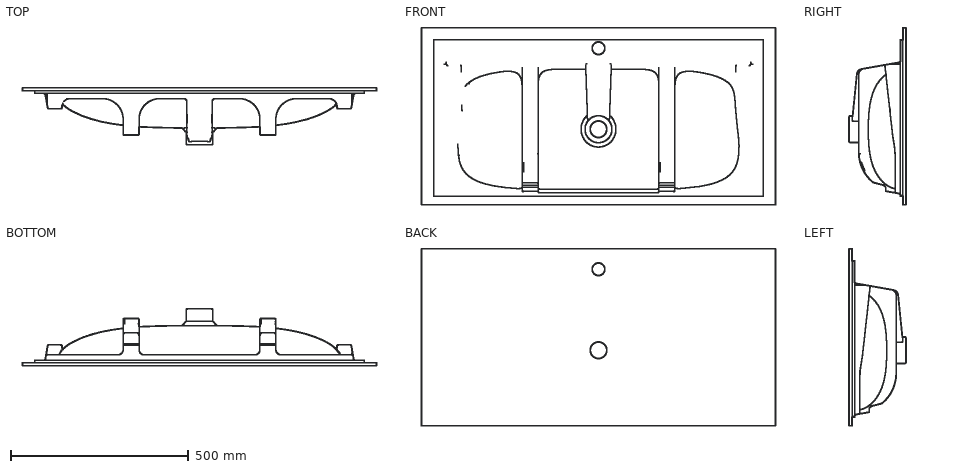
import cadquery as cq
import math


PLATE_WIDTH = 999.79
PLATE_HEIGHT = 499.9
PLATE_DEPTH = 9.0
STEP_WIDTH = 931.0
STEP_TOP = 216.0
STEP_BOTTOM = -225.0
STEP_DEPTH = 16.0
PLATE_EDGE_RADIUS = 3.0
PLATE_CORNER_RADIUS = 2.0
TAP_HOLE_DIAMETER = 35.0
TAP_HOLE_Z = 192.0

APRON_HALF_WIDTH = 436.0
APRON_TOP = 153.0
APRON_BOTTOM = -219.0
APRON_DRAFT = 10.0
APRON_TOP_RADIUS = 6.0
APRON_BOTTOM_RADIUS = 45.0
APRON_ROOT_RADIUS = 5.0
SHELF_DEPTH = 31.0

PAD_INNER_X = 388.0
PAD_DEPTH = 61.0
PAD_MID_DEPTH = 38.5
PAD_MID_Z = -50.0
PAD_END_Z = -110.0
PAD_FLARE = 23.0

RAISED_EDGE_RADIUS = 4.0

RIB_X = 193.0
RIB_WIDTH = 45.0
RIB_DEPTH = 134.0
RIB_TOP_CORNER_RADIUS = 18.0
RIB_STRAIGHT_END_Z = -105.0
RIB_CURVE_MID = (117.0, -160.0)
RIB_CURVE_END = (93.0, -187.0)
RIB_HEEL = (63.0, -195.0)
RIB_TOE_DEPTH = 58.0
RIB_FLARE = 58.0
RIB_FOOT_FLARE = 15.0

MIDDLE_RIB_TOP_WIDTH = 73.0
MIDDLE_RIB_END_WIDTH = 60.0
MIDDLE_RIB_TOP_DEPTH = 138.0
MIDDLE_RIB_END_DEPTH = 155.0
MIDDLE_RIB_CORNER_RADIUS = 18.0
MIDDLE_RIB_FOOT_RADIUS = 8.0

DRAIN_Z = -36.5
DRAIN_DEPTH = 161.5
DRAIN_DIAMETER = 76.0
DRAIN_EDGE_RADIUS = 5.0
DRAIN_HOLE_DIAMETER = 46.0
DRAIN_CONE_DIAMETER = 106.0
DRAIN_CONE_START = 110.0
DRAIN_CONE_END = 126.0

BOWL_HALF_WIDTH = 397.0
BOWL_HALF_HEIGHT = 170.0
BOWL_Z = -37.0
BOWL_DEPTH = 114.0
BOWL_LEVELS = (0.0, 0.2, 0.42, 0.64, 0.82, 0.93, 0.98, 0.998)
BOWL_FULLNESS = 1.5
BOWL_ROUNDING = 0.3
BOWL_POINTS = 48
BOWL_BASE_SQUARENESS = 4.6
BOWL_CROWN_SQUARENESS = 2.5

SLACK = 1.0

DRAFT_SLOPE = math.tan(math.radians(APRON_DRAFT))


def box(x_min, x_max, depth_min, depth_max, z_min, z_max):
    """Block given by its X and Z limits and its two depths."""
    size = (x_max - x_min, depth_max - depth_min, z_max - z_min)
    corner = (x_min, -depth_max, z_min)
    return cq.Workplane("XY").box(*size, centered=False).translate(corner)


def apron_top_at(depth):
    """Height of the drafted top wall of the apron at a depth."""
    return APRON_TOP - (depth - STEP_DEPTH) * DRAFT_SLOPE


def apron_bottom_at(depth):
    """Height of the drafted bottom wall of the apron at a depth."""
    return APRON_BOTTOM + (depth - STEP_DEPTH) * DRAFT_SLOPE


def make_plate():
    """Outer plate and the smaller step on it."""
    plate = box(-PLATE_WIDTH / 2, PLATE_WIDTH / 2, 0, PLATE_DEPTH, -PLATE_HEIGHT / 2, PLATE_HEIGHT / 2)
    plate = plate.edges("|Y").fillet(PLATE_CORNER_RADIUS)
    plate = plate.faces(">Y").edges().fillet(PLATE_EDGE_RADIUS)
    step = box(-STEP_WIDTH / 2, STEP_WIDTH / 2, 0, STEP_DEPTH, STEP_BOTTOM, STEP_TOP)
    return plate.union(step)


def make_apron():
    """Drafted block with the full depth; later cut down to shelf, pads and ribs."""
    height = APRON_TOP - APRON_BOTTOM
    outline = (
        cq.Sketch()
        .rect(2 * APRON_HALF_WIDTH, height)
        .vertices(">Y").fillet(APRON_TOP_RADIUS)
        .reset().vertices("<Y").fillet(APRON_BOTTOM_RADIUS)
    )
    return (
        cq.Workplane("XZ", origin=(0, -STEP_DEPTH, (APRON_TOP + APRON_BOTTOM) / 2))
        .placeSketch(outline)
        .extrude(DRAIN_DEPTH - STEP_DEPTH, taper=APRON_DRAFT)
    )


def make_flare(x, direction, radius, z_min, z_max):
    """Concave sweep from the shelf up to a wall at x, facing the given X direction."""
    far_x = x + direction * radius
    block = box(min(x, far_x), max(x, far_x), 0, SHELF_DEPTH + radius, z_min, z_max)
    hollow = (
        cq.Workplane("XY", origin=(far_x, -SHELF_DEPTH - radius, z_min))
        .circle(radius)
        .extrude(z_max - z_min)
    )
    return block.cut(hollow)


def make_pad():
    """End pad on the +X side, deep at the top and blending into a thin toe."""
    flare = make_flare(PAD_INNER_X, -1, PAD_FLARE, APRON_BOTTOM, APRON_TOP)
    pad = box(PAD_INNER_X, APRON_HALF_WIDTH, 0, DRAIN_DEPTH, APRON_BOTTOM, APRON_TOP).union(flare)
    slope = (PAD_DEPTH - PAD_MID_DEPTH, PAD_MID_Z - APRON_TOP)
    side = (
        cq.Workplane("YZ", origin=(PAD_INNER_X - PAD_FLARE, 0, 0))
        .moveTo(0, APRON_TOP)
        .lineTo(-PAD_DEPTH, APRON_TOP)
        .lineTo(-PAD_MID_DEPTH, PAD_MID_Z)
        .spline([(-SHELF_DEPTH, PAD_END_Z)], tangents=[slope, (0, -1)], includeCurrent=True)
        .lineTo(0, PAD_END_Z)
        .close()
        .extrude(APRON_HALF_WIDTH - PAD_INNER_X + PAD_FLARE)
    )
    return pad.intersect(side)


def make_rib_side(width):
    """Side outline of a rib as a block of the given width, centred on X = 0."""
    corner_z = apron_top_at(RIB_DEPTH)
    toe_z = apron_bottom_at(RIB_TOE_DEPTH)
    return (
        cq.Workplane("YZ", origin=(-width / 2, 0, 0))
        .moveTo(0, apron_top_at(0))
        .lineTo(-RIB_DEPTH, corner_z)
        .lineTo(-RIB_DEPTH, RIB_STRAIGHT_END_Z)
        .threePointArc((-RIB_CURVE_MID[0], RIB_CURVE_MID[1]), (-RIB_CURVE_END[0], RIB_CURVE_END[1]))
        .lineTo(-RIB_HEEL[0], RIB_HEEL[1])
        .lineTo(-RIB_TOE_DEPTH, RIB_HEEL[1] - (RIB_HEEL[0] - RIB_TOE_DEPTH))
        .lineTo(-RIB_TOE_DEPTH, toe_z)
        .lineTo(0, apron_bottom_at(0))
        .close()
        .extrude(width)
        .edges(cq.selectors.NearestToPointSelector((0, -RIB_DEPTH, corner_z)))
        .fillet(RIB_TOP_CORNER_RADIUS)
    )


def make_rib():
    """Side rib on the +X side: straight core with a flare on both flanks."""
    half_width = RIB_WIDTH / 2
    rib = make_rib_side(RIB_WIDTH)
    clipping = make_rib_side(RIB_WIDTH + 2 * RIB_FLARE)
    for direction in (-1, 1):
        x = direction * half_width
        upper_flare = make_flare(x, direction, RIB_FLARE, BOWL_Z, APRON_TOP)
        foot_flare = make_flare(x, direction, RIB_FOOT_FLARE, APRON_BOTTOM, BOWL_Z)
        rib = rib.union(upper_flare.union(foot_flare).intersect(clipping))
    return rib.translate((RIB_X, 0, 0))


def make_middle_rib():
    """Tapered rib that leans out from the apron top down to the drain."""
    corner_z = apron_top_at(MIDDLE_RIB_TOP_DEPTH)
    front = (
        cq.Workplane("XZ")
        .polyline([
            (-MIDDLE_RIB_TOP_WIDTH / 2, APRON_TOP),
            (MIDDLE_RIB_TOP_WIDTH / 2, APRON_TOP),
            (MIDDLE_RIB_END_WIDTH / 2, DRAIN_Z),
            (-MIDDLE_RIB_END_WIDTH / 2, DRAIN_Z),
        ])
        .close()
        .extrude(DRAIN_DEPTH)
    )
    side = (
        cq.Workplane("YZ", origin=(-MIDDLE_RIB_TOP_WIDTH / 2, 0, 0))
        .polyline([
            (0, apron_top_at(0)),
            (-MIDDLE_RIB_TOP_DEPTH, corner_z),
            (-MIDDLE_RIB_END_DEPTH, DRAIN_Z),
            (0, DRAIN_Z),
        ])
        .close()
        .extrude(MIDDLE_RIB_TOP_WIDTH)
        .edges(cq.selectors.NearestToPointSelector((0, -MIDDLE_RIB_TOP_DEPTH, corner_z)))
        .fillet(MIDDLE_RIB_CORNER_RADIUS)
    )
    return front.intersect(side)


def make_bowl_outline(level):
    """Closed superellipse at a level between 0 (shelf) and 1 (crown of the bowl)."""
    scale = (1 - level ** BOWL_FULLNESS) ** BOWL_ROUNDING
    squareness = BOWL_BASE_SQUARENESS + (BOWL_CROWN_SQUARENESS - BOWL_BASE_SQUARENESS) * level
    depth = SHELF_DEPTH + level * (BOWL_DEPTH - SHELF_DEPTH)
    points = []
    for step in range(BOWL_POINTS):
        angle = 2 * math.pi * step / BOWL_POINTS
        across = math.copysign(abs(math.cos(angle)) ** (2 / squareness), math.cos(angle))
        upward = math.copysign(abs(math.sin(angle)) ** (2 / squareness), math.sin(angle))
        x = BOWL_HALF_WIDTH * scale * across
        z = BOWL_Z + BOWL_HALF_HEIGHT * scale * upward
        points.append(cq.Vector(x, -depth, z))
    return cq.Wire.assembleEdges([cq.Edge.makeSpline(points, periodic=True)])


def make_bowl():
    """Smooth bulge lofted through outlines that shrink toward the drain."""
    outlines = [make_bowl_outline(level) for level in BOWL_LEVELS]
    return cq.Workplane(cq.Solid.makeLoft(outlines))


def make_drain():
    """Spigot with a conical collar where it leaves the bowl."""
    spigot = cq.Workplane("XZ", origin=(0, 0, DRAIN_Z)).circle(DRAIN_DIAMETER / 2).extrude(DRAIN_DEPTH)
    spigot = spigot.edges("<Y").fillet(DRAIN_EDGE_RADIUS)
    collar = cq.Solid.makeCone(
        DRAIN_CONE_DIAMETER / 2,
        DRAIN_DIAMETER / 2,
        DRAIN_CONE_END - DRAIN_CONE_START,
        pnt=cq.Vector(0, -DRAIN_CONE_START, DRAIN_Z),
        dir=cq.Vector(0, -1, 0),
    )
    return spigot.union(cq.Workplane(collar))


def edges_nearest(body, points):
    """One edge of the body for each point, the one whose middle is closest to it."""
    edges = body.edges(cq.selectors.NearestToPointSelector(points[0]))
    for point in points[1:]:
        edges = edges.add(body.edges(cq.selectors.NearestToPointSelector(point)))
    return edges


def mirrored(points):
    """The points followed by their mirror images across the YZ plane."""
    return points + [(-x, y, z) for x, y, z in points]


def round_raised_edges(body):
    """Blend the foot of the middle rib, then round the edges of ribs, pads and shelf windows."""
    foot = [(MIDDLE_RIB_TOP_WIDTH / 2, -SHELF_DEPTH, APRON_TOP / 2)]
    body = edges_nearest(body, mirrored(foot)).fillet(MIDDLE_RIB_FOOT_RADIUS)

    rib_z = (apron_top_at(RIB_DEPTH) + RIB_STRAIGHT_END_Z) / 2
    pad_z = (APRON_TOP + PAD_MID_Z) / 2
    pad_depth = (PAD_DEPTH + PAD_MID_DEPTH) / 2
    pad_outer_x = APRON_HALF_WIDTH - (pad_depth - STEP_DEPTH) * DRAFT_SLOPE
    tips = [
        (RIB_X - RIB_WIDTH / 2, -RIB_DEPTH, rib_z),
        (RIB_X + RIB_WIDTH / 2, -RIB_DEPTH, rib_z),
        (PAD_INNER_X, -pad_depth, pad_z),
        (pad_outer_x, -pad_depth, pad_z),
        ((PAD_INNER_X + pad_outer_x) / 2, -PAD_DEPTH, apron_top_at(PAD_DEPTH)),
    ]
    return edges_nearest(body, mirrored(tips)).fillet(RAISED_EDGE_RADIUS)


def make_through_hole(diameter, z):
    """Cutter for a hole through the full depth."""
    return cq.Workplane("XZ", origin=(0, 0, z)).circle(diameter / 2).extrude(DRAIN_DEPTH)


def make_raised():
    """Everything the apron keeps: the shelf with the pads and ribs standing on it."""
    shelf = box(-PLATE_WIDTH / 2, PLATE_WIDTH / 2, 0, SHELF_DEPTH, -PLATE_HEIGHT / 2, PLATE_HEIGHT / 2)
    raised = shelf.union(make_middle_rib())
    for side_part in (make_pad(), make_rib()):
        raised = raised.union(side_part).union(side_part.mirror("YZ"))
    return raised


def round_apron_root(body):
    """Concave fillet where the apron walls meet the step."""
    root = cq.selectors.BoxSelector(
        (-APRON_HALF_WIDTH - SLACK, -STEP_DEPTH - SLACK, APRON_BOTTOM - SLACK),
        (APRON_HALF_WIDTH + SLACK, -STEP_DEPTH + SLACK, APRON_TOP + SLACK),
    )
    return body.edges(root).fillet(APRON_ROOT_RADIUS)


body = round_apron_root(make_plate().union(make_apron()))
body = round_raised_edges(body.intersect(make_raised()))
body = body.union(make_bowl()).union(make_drain())
body = body.cut(make_through_hole(TAP_HOLE_DIAMETER, TAP_HOLE_Z))
result = body.cut(make_through_hole(DRAIN_HOLE_DIAMETER, DRAIN_Z))